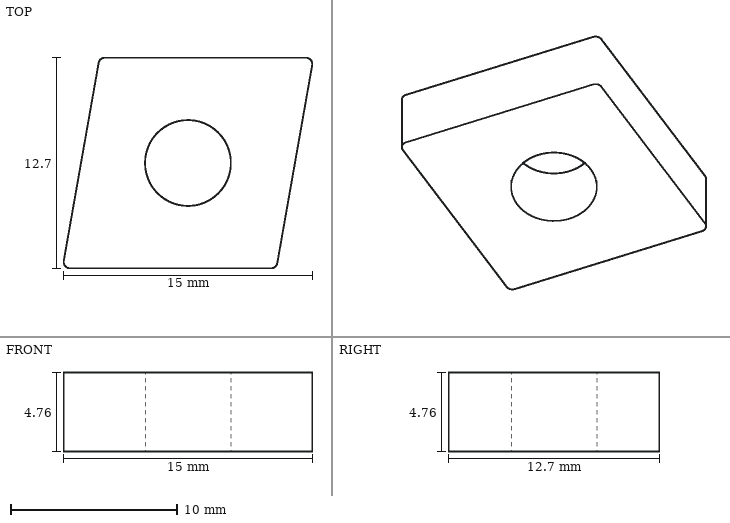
import cadquery as cq
import math

inscribed_diameter = 12.7
acute_angle = math.radians(80)
thickness = 4.76
nose_radius = 0.4
bore_diameter = 5.16

side_length = inscribed_diameter / math.sin(acute_angle)
half_height = inscribed_diameter / 2
half_lean = half_height / math.tan(acute_angle)
half_side = side_length / 2


def rhombic_body():
    """Rhombic plate with all four vertical corners rounded."""
    corners = [
        (-half_side - half_lean, -half_height),
        (half_side - half_lean, -half_height),
        (half_side + half_lean, half_height),
        (-half_side + half_lean, half_height),
    ]
    plate = cq.Workplane("XY").polyline(corners).close().extrude(thickness)
    return plate.edges("|Z").fillet(nose_radius)


def add_bore(body):
    """Clamping hole through the centre of the plate."""
    return body.faces(">Z").workplane(origin=(0, 0, thickness)).hole(bore_diameter)


result = add_bore(rhombic_body())